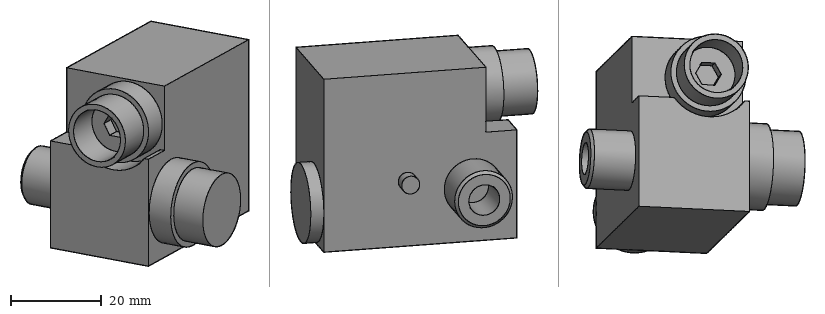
import cadquery as cq
import math

BLOCK_WIDTH = 25.05
BLOCK_DEPTH = 44.05
BLOCK_HEIGHT = 40.0

STEP_DEPTH = 7.1
STEP_HEIGHT = 15.0

PORT_X = 16.0
PORT_DROP_FROM_TOP = 9.0
PORT_Z = BLOCK_HEIGHT - PORT_DROP_FROM_TOP
PORT_CLEARANCE_DIAMETER = 20.0
COLLAR_DIAMETER = 17.0
COLLAR_LENGTH = 6.0
NOZZLE_DIAMETER = 14.5
NOZZLE_LENGTH = 8.05
PORT_BORE_DIAMETER = 12.0
PORT_BORE_DEPTH = 8.05
HEX_ACROSS_FLATS = 5.0
HEX_DEPTH = 3.0

CROSS_AXIS_Y = 10.0
CROSS_AXIS_Z = 12.5
SPIGOT_DIAMETER = 13.2
SPIGOT_LENGTH = 10.0
SPIGOT_TIP_DIAMETER = 11.8
SPIGOT_CHAMFER = (SPIGOT_DIAMETER - SPIGOT_TIP_DIAMETER) / 2
SPIGOT_BORE_DIAMETER = 7.0
SPIGOT_BORE_DEPTH = SPIGOT_LENGTH
FLANGE_DIAMETER = 19.2
FLANGE_LENGTH = 5.5
FITTING_DIAMETER = 16.6
FITTING_LENGTH = 7.45

PIN_DIAMETER = 4.1
PIN_LENGTH = 3.0
PIN_Y = 25.0
PIN_Z = 15.0

DISC_DIAMETER = 18.0
DISC_THICKNESS = 2.95

ALONG_X = cq.Vector(1, 0, 0)
ALONG_Y = cq.Vector(0, 1, 0)


def cylinder(diameter, length, start, direction):
    """Cylinder growing from the point start along direction."""
    solid = cq.Solid.makeCylinder(diameter / 2, length, cq.Vector(*start), direction)
    return cq.Workplane(obj=solid)


def stepped_block():
    block = cq.Workplane().box(BLOCK_WIDTH, BLOCK_DEPTH, BLOCK_HEIGHT, centered=False)
    step = (
        cq.Workplane()
        .box(BLOCK_WIDTH, STEP_DEPTH, STEP_HEIGHT, centered=False)
        .translate((0, 0, BLOCK_HEIGHT - STEP_HEIGHT))
    )
    clearance = cylinder(PORT_CLEARANCE_DIAMETER, STEP_DEPTH, (PORT_X, 0, PORT_Z), ALONG_Y)
    return block.cut(step).cut(clearance)


def add_front_port(body):
    collar_front = STEP_DEPTH - COLLAR_LENGTH
    nozzle_front = collar_front - NOZZLE_LENGTH
    bore_floor = nozzle_front + PORT_BORE_DEPTH
    collar = cylinder(COLLAR_DIAMETER, COLLAR_LENGTH, (PORT_X, collar_front, PORT_Z), ALONG_Y)
    nozzle = cylinder(NOZZLE_DIAMETER, NOZZLE_LENGTH, (PORT_X, nozzle_front, PORT_Z), ALONG_Y)
    bore = cylinder(PORT_BORE_DIAMETER, PORT_BORE_DEPTH, (PORT_X, nozzle_front, PORT_Z), ALONG_Y)
    hex_across_corners = HEX_ACROSS_FLATS / math.cos(math.pi / 6)
    socket = (
        cq.Workplane("XZ", origin=(PORT_X, bore_floor, PORT_Z))
        .polygon(6, hex_across_corners)
        .extrude(-HEX_DEPTH)
    )
    return body.union(collar).union(nozzle).cut(bore).cut(socket)


def add_left_spigot(body):
    tip = (-SPIGOT_LENGTH, CROSS_AXIS_Y, CROSS_AXIS_Z)
    spigot = cylinder(SPIGOT_DIAMETER, SPIGOT_LENGTH, tip, ALONG_X).faces("<X").chamfer(SPIGOT_CHAMFER)
    bore = cylinder(SPIGOT_BORE_DIAMETER, SPIGOT_BORE_DEPTH, tip, ALONG_X)
    return body.union(spigot).cut(bore)


def add_right_fitting(body):
    flange_end = BLOCK_WIDTH + FLANGE_LENGTH
    flange = cylinder(FLANGE_DIAMETER, FLANGE_LENGTH, (BLOCK_WIDTH, CROSS_AXIS_Y, CROSS_AXIS_Z), ALONG_X)
    fitting = cylinder(FITTING_DIAMETER, FITTING_LENGTH, (flange_end, CROSS_AXIS_Y, CROSS_AXIS_Z), ALONG_X)
    return body.union(flange).union(fitting)


def add_locating_pin(body):
    return body.union(cylinder(PIN_DIAMETER, PIN_LENGTH, (-PIN_LENGTH, PIN_Y, PIN_Z), ALONG_X))


def add_rear_disc(body):
    radius = DISC_DIAMETER / 2
    return body.union(cylinder(DISC_DIAMETER, DISC_THICKNESS, (radius, BLOCK_DEPTH, radius), ALONG_Y))


body = stepped_block()
body = add_front_port(body)
body = add_left_spigot(body)
body = add_right_fitting(body)
body = add_locating_pin(body)
result = add_rear_disc(body)